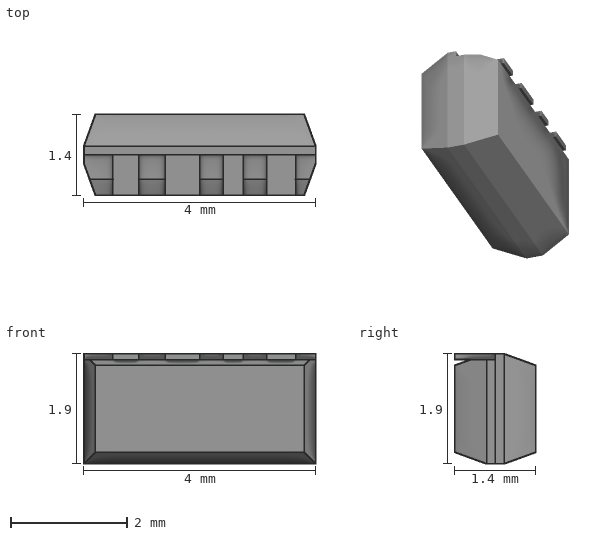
import cadquery as cq

length = 4.0
height = 1.9
depth = 1.4
shell_depth = depth / 2

rim_depth = 0.15
taper_depth = shell_depth - rim_depth
taper_inset = 0.2

contact_thickness = 0.1
contact_spans = [
    (-1.5, 0.45),
    (-0.6, 0.6),
    (0.4, 0.35),
    (1.15, 0.5),
]

top_z = height / 2
seat_z = top_z - contact_thickness


def make_shell(side):
    """Tapered shell growing from y = 0 toward +Y (side = 1) or -Y (side = -1)."""
    joint = cq.Workplane(cq.Plane(origin=(0, 0, 0), xDir=(1, 0, 0), normal=(0, side, 0)))
    rim = joint.rect(length, height).extrude(rim_depth)
    taper = (
        joint.workplane(offset=rim_depth)
        .rect(length, height)
        .workplane(offset=taper_depth)
        .rect(length - 2 * taper_inset, height - 2 * taper_inset)
        .loft(ruled=True, combine=False)
    )
    return rim.union(taper)


def make_contact(left_x, width):
    """Flat strip from the joint plane to the front face, resting on the seat."""
    return (
        cq.Workplane("XY")
        .box(width, shell_depth, contact_thickness, centered=False)
        .translate((left_x, -shell_depth, seat_z))
    )


back_shell = make_shell(1)

seat_cut = cq.Workplane("XY").box(length, depth, contact_thickness).translate(
    (0, 0, seat_z + contact_thickness / 2)
)
front_shell = make_shell(-1).cut(seat_cut)

contacts = [make_contact(left_x, width) for left_x, width in contact_spans]

result = cq.Compound.makeCompound(
    [
        back_shell.solids().val(),
        front_shell.solids().val(),
        *[contact.val() for contact in contacts],
    ]
)